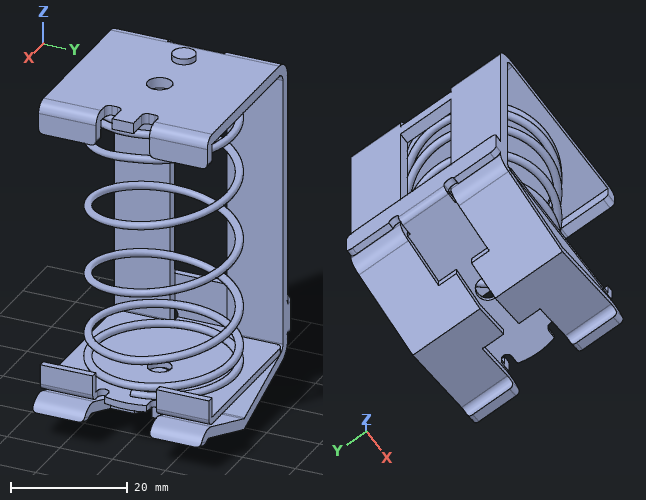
import cadquery as cq
import math


width = 32.0
half_width = width / 2
sheet = 2.0
bend_inner = 1.5
bend_outer = bend_inner + sheet
top_face = 63.8
top_underside = top_face - sheet
top_end = 33.15
corner_radius = 1.0

clamp_angle = math.radians(20)
tip_x = 18.0
hook_end = 35.95
hook_half_gap = 6.15
neck_half_gap = 1.6
neck_half_length = 6.9
valley_radius = 0.65

window_half_width = 5.4
window_top = 54.85
notch_bottom = 58.8
notch_depth = 3.1

flange_bottom = 57.8
tongue_half_width = 2.0
slot_outer_y = 5.05
slot_bottom_x = 28.8
slot_corner = 1.0

hole_diameter = 4.55
pin_diameter = 4.2
pin_x = 8.0
pin_top = 64.9

seat_sheet = 1.3
seat_top = 8.75
seat_bottom = seat_top - seat_sheet
seat_start = sheet
seat_end = 32.45
seat_corner = 1.3
seat_hole_diameter = 4.2
tail_half_width = 4.85
tab_top = 17.15
tab_bottom = 9.2
relief_radius = 1.05
relief_top = 10.25
stop_top = 12.5
stop_inner_y = 6.05
stop_relief_bottom_x = 29.45
lip_arc_radius = 14.6

wire_radius = 0.7
coil_radius = 13.05
coil_x = 16.35
lower_embed = 0.45
upper_embed = 0.2
middle_turns = 3
middle_pitch = 13.1
side_pitch = 4.9
end_turns = 1
points_per_turn = 16


def block(x_range, y_range, z_range):
    """Box between the given limits on each axis."""
    size = [b - a for a, b in (x_range, y_range, z_range)]
    return (
        cq.Workplane("XY")
        .box(*size, centered=False)
        .translate((x_range[0], y_range[0], z_range[0]))
    )


def both_sides(body):
    """The body together with its mirror image across Y = 0."""
    return body.union(body.mirror("XZ"))


def full_width(outline):
    """XZ outline extruded over the whole width."""
    return outline.close().extrude(half_width, both=True)


def upright(center, radius, height):
    """Vertical cylinder standing on the given point."""
    return cq.Workplane("XY", origin=center).circle(radius).extrude(height)


def on_circle(center, radius, angle):
    return (center[0] + radius * math.cos(angle), center[1] + radius * math.sin(angle))


def quarter_bend(center, radius, middle_angle, y_range):
    """Solid quarter round about an axis along Y, facing the given angle in XZ."""
    start = middle_angle - math.pi / 4
    finish = middle_angle + math.pi / 4
    return (
        cq.Workplane("XZ", origin=(0, y_range[1], 0))
        .moveTo(*center)
        .lineTo(*on_circle(center, radius, start))
        .threePointArc(
            on_circle(center, radius, middle_angle),
            on_circle(center, radius, finish),
        )
        .close()
        .extrude(y_range[1] - y_range[0])
    )


def make_bracket():
    """Top plate, back wall, V-shaped clamp and hook bent from one sheet."""
    slope = math.tan(clamp_angle)
    tip_rise = sheet / math.cos(clamp_angle)
    foot_z = bend_outer * math.cos(clamp_angle) + slope * (
        tip_x - bend_outer * (1 - math.sin(clamp_angle))
    )
    valley_run = valley_radius * math.sin(clamp_angle)
    valley_z = tip_rise + valley_radius * (1 / math.cos(clamp_angle) - 1)
    top_center = (bend_outer, top_face - bend_outer)
    foot_center = (bend_outer, foot_z)
    hook_x = hook_end - bend_outer * math.cos(clamp_angle)
    hook_center = (hook_x, slope * (hook_x - tip_x) - bend_inner / math.cos(clamp_angle))

    foot_finish = 1.5 * math.pi - clamp_angle
    foot_middle = (math.pi + foot_finish) / 2
    hook_start = math.pi / 2 + clamp_angle
    hook_middle = (hook_start + clamp_angle) / 2

    outline = (
        cq.Workplane("XZ")
        .moveTo(top_end, top_face)
        .lineTo(bend_outer, top_face)
        .threePointArc(on_circle(top_center, bend_outer, 0.75 * math.pi), (0, top_center[1]))
        .lineTo(0, foot_z)
        .threePointArc(
            on_circle(foot_center, bend_outer, foot_middle),
            on_circle(foot_center, bend_outer, foot_finish),
        )
        .lineTo(tip_x, 0)
        .lineTo(*on_circle(hook_center, bend_inner, hook_start))
        .threePointArc(
            on_circle(hook_center, bend_inner, hook_middle),
            on_circle(hook_center, bend_inner, clamp_angle),
        )
        .lineTo(*on_circle(hook_center, bend_outer, clamp_angle))
        .threePointArc(
            on_circle(hook_center, bend_outer, hook_middle),
            on_circle(hook_center, bend_outer, hook_start),
        )
        .lineTo(tip_x + valley_run, tip_rise + valley_run * slope)
        .threePointArc((tip_x, valley_z), (tip_x - valley_run, tip_rise + valley_run * slope))
        .lineTo(*on_circle(foot_center, bend_inner, foot_finish))
        .threePointArc(
            on_circle(foot_center, bend_inner, foot_middle),
            (sheet, foot_z),
        )
        .lineTo(sheet, top_center[1])
        .threePointArc(
            on_circle(top_center, bend_inner, 0.75 * math.pi),
            (bend_outer, top_underside),
        )
        .lineTo(top_end, top_underside)
    )
    bracket = full_width(outline)

    window_y = (-window_half_width, window_half_width)
    neck_start = tip_x - neck_half_length
    neck_end = tip_x + neck_half_length
    window = block((0, neck_start), window_y, (0, window_top))
    notch = block((0, notch_depth), window_y, (notch_bottom, top_face))
    neck = block((neck_start, neck_end), (-neck_half_gap, neck_half_gap), (0, seat_top))
    hook_gap = block((neck_end, hook_end), (-hook_half_gap, hook_half_gap), (0, seat_top))
    bracket = bracket.cut(window).cut(notch).cut(neck).cut(hook_gap)

    hook_tip = cq.selectors.BoxSelector(
        (hook_center[0] + bend_inner / 2, -width, 0), (hook_end + sheet, width, seat_bottom)
    )
    across_sheet = cq.selectors.ParallelDirSelector(
        cq.Vector(math.cos(clamp_angle), 0, math.sin(clamp_angle))
    )
    return bracket.edges(across_sheet).edges(hook_tip).fillet(corner_radius)


def add_top_details(bracket):
    """Front flanges, slots beside the tongue, hole and pin of the top plate."""
    bend_x = top_end - sheet
    flange_y = (slot_outer_y, half_width)
    plate_z = (top_underside, top_face)

    square_edge = block((bend_x, top_end), flange_y, plate_z)
    bend = quarter_bend((bend_x, top_underside), sheet, math.pi / 4, flange_y)
    flange = (
        block((bend_x, top_end), flange_y, (flange_bottom, top_underside))
        .edges("|X and <Z")
        .fillet(corner_radius)
        .union(bend)
    )
    slot = (
        block((slot_bottom_x, top_end), (tongue_half_width, slot_outer_y), plate_z)
        .edges("|Z and <X")
        .fillet(slot_corner)
    )
    hole = upright((tip_x, 0, top_underside), hole_diameter / 2, sheet)
    pin = upright((pin_x, 0, top_underside), pin_diameter / 2, pin_top - top_underside)

    bracket = bracket.cut(both_sides(square_edge)).union(both_sides(flange))
    return bracket.cut(both_sides(slot)).cut(hole).union(pin)


def make_tab():
    """Tab lying on the outside of the wall, joined by a tail through the window."""
    tail_y = (-tail_half_width, tail_half_width)
    relief_y = tail_half_width + relief_radius

    tail = block((0, seat_start + seat_corner), tail_y, (seat_bottom, seat_top))
    bend = quarter_bend((0, seat_top), seat_sheet, 1.25 * math.pi, tail_y)
    neck = block((-seat_sheet, 0), tail_y, (seat_top, relief_top))
    relief = (
        cq.Workplane("YZ", origin=(-seat_sheet, relief_y, relief_top - relief_radius))
        .circle(relief_radius)
        .extrude(seat_sheet)
    )
    tab = (
        block((-seat_sheet, 0), (-half_width, half_width), (tab_bottom, tab_top))
        .edges("|X")
        .fillet(seat_corner)
    )
    return tab.cut(both_sides(relief)).union(neck).union(bend).union(tail)


def make_seat():
    """Flat spring seat with two upright stops and a lip between them."""
    bend_x = seat_end - seat_sheet
    stop_y = (stop_inner_y, half_width)
    relief_y = stop_inner_y - relief_radius
    relief_x = stop_relief_bottom_x + relief_radius
    lip_half_width = relief_y - relief_radius
    lip_tip = tip_x + lip_arc_radius
    plate_z = (seat_bottom, seat_top)

    plate = (
        block((seat_start, bend_x), (-half_width, half_width), plate_z)
        .edges("|Z and <X")
        .fillet(seat_corner)
    )
    lip = block((tip_x, lip_tip), (-lip_half_width, lip_half_width), plate_z).intersect(
        upright((tip_x, 0, seat_bottom), lip_arc_radius, seat_sheet)
    )
    stop = block((bend_x, seat_end), stop_y, (seat_top, stop_top)).union(
        quarter_bend((bend_x, seat_top), seat_sheet, -math.pi / 4, stop_y)
    )
    relief = block((relief_x, bend_x), (lip_half_width, stop_inner_y), plate_z).union(
        upright((relief_x, relief_y, seat_bottom), relief_radius, seat_sheet)
    )
    hole = upright((tip_x, 0, seat_bottom), seat_hole_diameter / 2, seat_sheet)

    seat = plate.union(lip).union(both_sides(stop))
    return seat.cut(both_sides(relief)).cut(hole)


def make_spring():
    """Right-handed compression spring with closer coils toward both ends."""
    lowest = seat_top + wire_radius - lower_embed
    highest = top_underside - wire_radius + upper_embed
    middle_z = (lowest + highest) / 2
    half_height = (highest - lowest) / 2
    half_turns = middle_turns / 2 + 2 * end_turns
    side_start = middle_turns / 2
    end_start = side_start + end_turns
    side_rise = side_start * middle_pitch
    end_rise = side_rise + end_turns * side_pitch
    end_height = half_height - end_rise

    def rise(turns):
        """Height above mid-spring, levelling out at the end of the last turn."""
        if turns <= side_start:
            return turns * middle_pitch
        if turns <= end_start:
            return side_rise + (turns - side_start) * side_pitch
        remaining = (half_turns - turns) / end_turns
        return end_rise + end_height * (1 - remaining**2)

    points = []
    steps = round(2 * half_turns * points_per_turn)
    for step in range(steps + 1):
        turns = step / points_per_turn - half_turns
        angle = 2 * math.pi * step / points_per_turn
        points.append(
            cq.Vector(
                coil_x + coil_radius * math.cos(angle),
                coil_radius * math.sin(angle),
                middle_z + math.copysign(rise(abs(turns)), turns),
            )
        )
    path = cq.Wire.assembleEdges([cq.Edge.makeSpline(points)])
    return (
        cq.Workplane("XZ", origin=points[0].toTuple())
        .circle(wire_radius)
        .sweep(path, isFrenet=True)
    )


bracket = add_top_details(make_bracket())
result = bracket.union(make_tab()).union(make_seat()).union(make_spring())